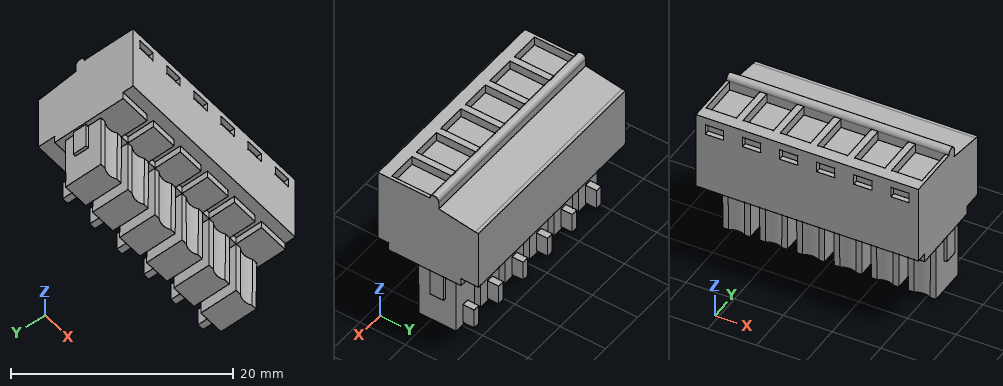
import cadquery as cq
import math


housing_width = 22.85
pole_count = 6
pitch = housing_width / pole_count
pole_centers = [(i - (pole_count - 1) / 2) * pitch for i in range(pole_count)]

housing_depth = 11.1
base_z = 6.55
block_z = 7.43
top_z = 15.6
rear_z = 14.13
rear_land = 0.37
roof_z = 14.77
plinth_front = 1.17
plinth_back = 9.17

bead_radius = 0.5
bead_y = 6.22
bead_front = bead_y - bead_radius
bead_back = bead_y + bead_radius

pocket_width = 3.1
pocket_front = 1.3
pocket_depth = 0.95

window_width = 1.85
window_height = 1.07
window_z = 13.72
window_depth = 0.53

leg_width = 2.9
leg_front = 4.14
leg_back = 8.3
leg_draft_angle = 0.25
leg_inset = base_z * math.tan(math.radians(leg_draft_angle))
groove_half_width = 0.87
groove_depth = 0.27
groove_radius = (groove_half_width**2 + groove_depth**2) / (2 * groove_depth)

latch_width = 0.73
latch_back = 9.53
latch_bottom = 0.27
latch_top = 2.51

rib_end_gap = 0.15
rib_front = 5.62
rib_back = 7.13
rib_bottom = 3.45


def box(x_min, x_max, y_min, y_max, z_min, z_max):
    """Return an axis-aligned block between the given limits."""
    size = (x_max - x_min, y_max - y_min, z_max - z_min)
    return cq.Workplane("XY").box(*size, centered=False).translate((x_min, y_min, z_min))


def centered_box(x, width, y_min, y_max, z_min, z_max):
    """Return a block of the given width centred on x."""
    return box(x - width / 2, x + width / 2, y_min, y_max, z_min, z_max)


def make_leg(x):
    """Drafted plug leg with a round groove in front and a latch behind."""
    tip_front = leg_front + leg_inset
    leg = (
        cq.Workplane("XY")
        .center(x, (tip_front + leg_back) / 2)
        .rect(leg_width - 2 * leg_inset, leg_back - tip_front)
        .workplane(offset=base_z)
        .center(0, (leg_front - tip_front) / 2)
        .rect(leg_width, leg_back - leg_front)
        .loft(ruled=True)
    )
    groove = (
        cq.Workplane("XY")
        .center(x, leg_front + groove_depth - groove_radius)
        .circle(groove_radius)
        .extrude(base_z)
    )
    latch = centered_box(x, latch_width, leg_back, latch_back, latch_bottom, latch_top)
    return leg.cut(groove).union(latch)


def make_housing_shell():
    """Constant side profile of the housing, extruded along the row."""
    return (
        cq.Workplane("YZ")
        .moveTo(0, block_z)
        .lineTo(0, top_z)
        .lineTo(bead_front, top_z)
        .threePointArc((bead_y, top_z + bead_radius), (bead_back, top_z))
        .lineTo(bead_back, roof_z)
        .lineTo(housing_depth - rear_land, rear_z)
        .lineTo(housing_depth, rear_z)
        .lineTo(housing_depth, block_z)
        .lineTo(plinth_back, block_z)
        .lineTo(plinth_back, base_z)
        .lineTo(plinth_front, base_z)
        .lineTo(plinth_front, block_z)
        .close()
        .extrude(housing_width / 2, both=True)
    )


def make_housing(legs):
    """Housing with pockets, windows, plinth slots and keying ribs."""
    housing = make_housing_shell()

    for x in pole_centers:
        pocket = centered_box(x, pocket_width, pocket_front, bead_front, top_z - pocket_depth, top_z)
        window = centered_box(x, window_width, 0, window_depth, window_z, window_z + window_height)
        housing = housing.cut(pocket).cut(window)

    for x in pole_centers[:-1]:
        slot_x = x + pitch / 2
        slot = centered_box(slot_x, pitch - leg_width, plinth_front, leg_front, base_z, block_z)
        housing = housing.cut(slot)

    rib_outer = housing_width / 2 - rib_end_gap
    rib_inner = pole_centers[-1]
    for x_min, x_max, leg in (
        (-rib_outer, -rib_inner, legs[0]),
        (rib_inner, rib_outer, legs[-1]),
    ):
        rib = box(x_min, x_max, rib_front, rib_back, rib_bottom, base_z).cut(leg)
        housing = housing.union(rib)
    return housing


legs = [make_leg(x) for x in pole_centers]
housing = make_housing(legs)

result = cq.Compound.makeCompound([housing.val(), *[leg.val() for leg in legs]])